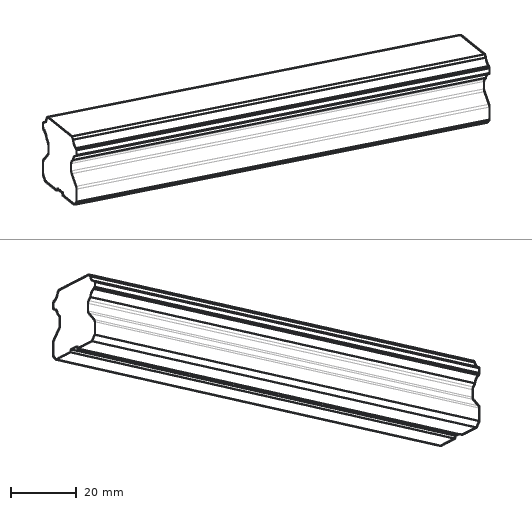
import cadquery as cq

length = 140.0
width = 23.0
height = 22.0
half_width = width / 2

top_half_width = 8.25
nose_center_height = 17.85
nose_half_height = 0.8
groove_outer_x = 11.0
groove_outer_offset = 1.3
groove_inner_x = 9.05
groove_inner_offset = 3.35
groove_radius = 2.6

neck_half_width = 7.8
neck_top_height = 13.3
neck_bottom_height = 9.9
base_shoulder_height = 6.25
corner_radius = 1.1
bottom_chamfer = 1.6

slot_mouth_width = 4.0
slot_floor_width = 3.2
slot_depth = 0.8


def make_half_profile():
    """Half of the rail cross-section, on the +X side of the middle plane."""
    groove_top = nose_center_height + groove_inner_offset
    groove_bottom = nose_center_height - groove_inner_offset
    nose_top = nose_center_height + nose_half_height
    nose_bottom = nose_center_height - nose_half_height
    return (
        cq.Workplane("XZ")
        .lineTo(half_width - bottom_chamfer, 0)
        .lineTo(half_width, bottom_chamfer)
        .lineTo(half_width, base_shoulder_height)
        .lineTo(neck_half_width, neck_bottom_height)
        .lineTo(neck_half_width, neck_top_height)
        .lineTo(groove_inner_x, groove_bottom)
        .radiusArc((groove_outer_x, nose_center_height - groove_outer_offset), groove_radius)
        .lineTo(half_width, nose_bottom)
        .lineTo(half_width, nose_top)
        .lineTo(groove_outer_x, nose_center_height + groove_outer_offset)
        .radiusArc((groove_inner_x, groove_top), groove_radius)
        .lineTo(top_half_width, height)
        .lineTo(0, height)
        .close()
    )


def corner_edges(x, z):
    """Selector for the lengthwise edge that passes through (x, z)."""
    reach = 0.1
    return cq.selectors.BoxSelector(
        (x - reach, -length, z - reach),
        (x + reach, length, z + reach),
    )


def make_half_rail():
    """Half rail with rounded neck and base shoulder corners."""
    half_rail = make_half_profile().extrude(length / 2, both=True)
    rounded_corners = [
        (half_width, base_shoulder_height),
        (neck_half_width, neck_bottom_height),
        (neck_half_width, neck_top_height),
    ]
    for x, z in rounded_corners:
        half_rail = half_rail.edges("|Y").edges(corner_edges(x, z)).fillet(corner_radius)
    return half_rail


def make_slot():
    """Cutter for the relief slot, with sloping walls, running the full length of the rail."""
    return (
        cq.Workplane("XZ")
        .moveTo(-slot_mouth_width / 2, 0)
        .lineTo(slot_mouth_width / 2, 0)
        .lineTo(slot_floor_width / 2, slot_depth)
        .lineTo(-slot_floor_width / 2, slot_depth)
        .close()
        .extrude(length / 2, both=True)
    )


half_rail = make_half_rail()
rail = half_rail.union(half_rail.mirror("YZ")).clean()
result = rail.cut(make_slot())